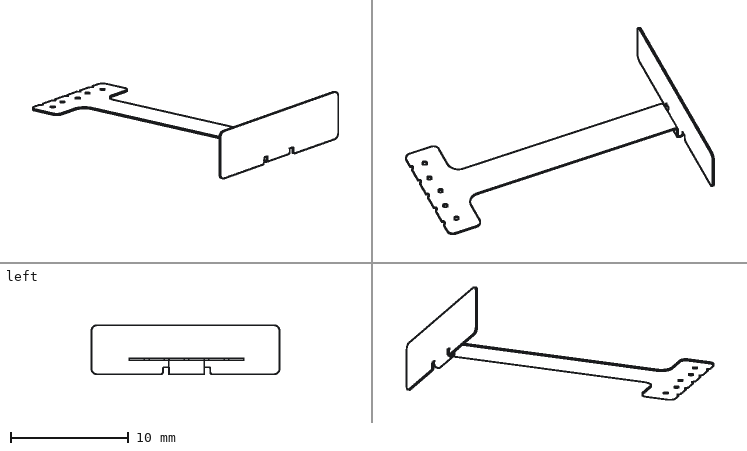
import cadquery as cq

length = 23.15
plate_width = 16.0
plate_height = 4.2

thickness = 0.15
bend_inner = 0.197
bend_outer = bend_inner + thickness

strip_y = -0.1
strip_width = 3.0
strip_top = 1.37
head_length = 3.0
head_width = 9.72
corner_radius = 0.5
neck_radius = 1.0

hole_diameter = 0.4
hole_pitch = 1.7
hole_count = 5
outer_row_x = 1.27
inner_row_x = 0.97

plate_inner_x = length - thickness
leg_outer_x = plate_inner_x - 2 * bend_inner

relief_span = 4.0
relief_height = 0.6
relief_mouth_radius = 0.2
relief_root_radius = 0.1


def make_bent_strip():
    """Bent sheet: flat strip, leg down, U-shaped base and upturn to the plate."""
    strip_bottom = strip_top - thickness
    leg_inner_x = leg_outer_x - thickness
    upper_x = leg_outer_x - bend_outer
    upper_z = strip_top - bend_outer
    lower_x = leg_outer_x + bend_inner
    profile = (
        cq.Workplane("XZ")
        .moveTo(head_length / 2, strip_top)
        .lineTo(upper_x, strip_top)
        .radiusArc((leg_outer_x, upper_z), bend_outer)
        .lineTo(leg_outer_x, bend_outer)
        .radiusArc((lower_x, thickness), -bend_inner)
        .radiusArc((plate_inner_x, bend_outer), -bend_inner)
        .lineTo(plate_inner_x, relief_height)
        .lineTo(length, relief_height)
        .lineTo(length, bend_outer)
        .radiusArc((lower_x, 0), bend_outer)
        .radiusArc((leg_inner_x, bend_outer), bend_outer)
        .lineTo(leg_inner_x, upper_z)
        .radiusArc((upper_x, strip_bottom), -bend_inner)
        .lineTo(head_length / 2, strip_bottom)
        .close()
    )
    return profile.extrude(strip_width / 2, both=True).translate((0, strip_y, 0))


def make_head():
    """Rounded head plus a stub of the strip, filleted where they meet."""
    stub_length = 2 * neck_radius
    base = cq.Workplane("XY").workplane(offset=strip_top - thickness)
    plate = (
        base.center(head_length / 2, 0)
        .rect(head_length, head_width)
        .extrude(thickness)
        .edges("|Z")
        .fillet(corner_radius)
    )
    stub = (
        base.center(head_length + stub_length / 2, 0)
        .rect(stub_length, strip_width)
        .extrude(thickness)
    )
    neck = cq.selectors.BoxSelector(
        (head_length - thickness, -strip_width, 0),
        (head_length + thickness, strip_width, strip_top),
    )
    return plate.union(stub).edges("|Z").edges(neck).fillet(neck_radius).translate((0, strip_y, 0))


def make_perforations():
    """Staggered holes, each paired with a half-round notch in the free edge."""
    points = []
    for index in range(hole_count):
        y = strip_y + (index - (hole_count - 1) / 2) * hole_pitch
        hole_x = outer_row_x if index % 2 == 0 else inner_row_x
        points += [(0, y), (hole_x, y)]
    return cq.Workplane("XY").pushPoints(points).circle(hole_diameter / 2).extrude(plate_height)


def make_end_plate():
    """Upright rounded plate, open at the bottom for the strip and its reliefs."""
    plate = (
        cq.Workplane("YZ")
        .workplane(offset=plate_inner_x)
        .center(0, plate_height / 2)
        .rect(plate_width, plate_height)
        .extrude(thickness)
        .edges("|X")
        .fillet(corner_radius)
    )
    opening = (
        cq.Workplane("YZ")
        .workplane(offset=plate_inner_x)
        .center(strip_y, 0)
        .rect(relief_span, 2 * relief_height)
        .extrude(thickness)
        .edges("|X")
        .fillet(relief_root_radius)
    )
    mouth = cq.selectors.BoxSelector(
        (plate_inner_x - thickness, -relief_span, -thickness),
        (length + thickness, relief_span, thickness),
    )
    return plate.cut(opening).edges("|X").edges(mouth).fillet(relief_mouth_radius)


head = make_head().cut(make_perforations())
result = head.union(make_bent_strip()).union(make_end_plate())